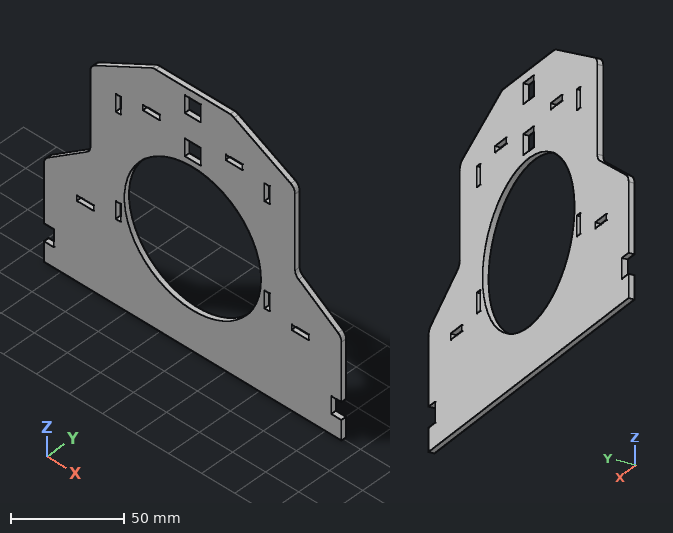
import cadquery as cq

thickness = 3.0
base_width = 180.0
height = 150.0
shoulder_z = 59.8
waist_z = 80.0
body_width = 123.8
crown_z = 129.6
crown_width = 47.5
corner_radius = 5.0

bore_diameter = 82.6
bore_z = 65.0

slot_length = 10.3
slot_width = 3.0
upper_flat_slot = (25.0, 123.5)
lower_flat_slot = (65.0, 48.2)
upright_slot_x = 45.0
upright_slot_heights = (54.9, 116.8)
window_width = 9.5
window_heights = (115.0, 140.0)

notch_depth = 6.1
notch_z = 17.1


def make_plate():
    """Stepped, tapered outline with rounded upper corners."""
    right_side = [
        (base_width / 2, 0),
        (base_width / 2, shoulder_z),
        (body_width / 2, waist_z),
        (body_width / 2, crown_z),
        (crown_width / 2, height),
    ]
    left_side = [(-x, z) for x, z in reversed(right_side)]
    plate = (
        cq.Workplane("XZ")
        .polyline(right_side + left_side)
        .close()
        .extrude(thickness / 2, both=True)
    )
    above_foot = cq.selectors.BoxSelector(
        (-base_width, -thickness, shoulder_z / 2),
        (base_width, thickness, height + corner_radius),
    )
    rounded_corners = plate.edges("|Y").edges(above_foot)
    return rounded_corners.fillet(corner_radius)


def through_box(x, z, width, depth):
    """Rectangular cutter centred at (x, z), passing through the plate."""
    return cq.Workplane("XY").box(width, 2 * thickness, depth).translate((x, 0, z))


result = make_plate()

bore = (
    cq.Workplane("XZ")
    .center(0, bore_z)
    .circle(bore_diameter / 2)
    .extrude(thickness, both=True)
)
result = result.cut(bore)

for z in window_heights:
    result = result.cut(through_box(0, z, window_width, slot_length))

for side in (-1, 1):
    for x, z in (upper_flat_slot, lower_flat_slot):
        result = result.cut(through_box(side * x, z, slot_length, slot_width))
    for z in upright_slot_heights:
        result = result.cut(through_box(side * upright_slot_x, z, slot_width, slot_length))
    result = result.cut(through_box(side * base_width / 2, notch_z, 2 * notch_depth, slot_length))